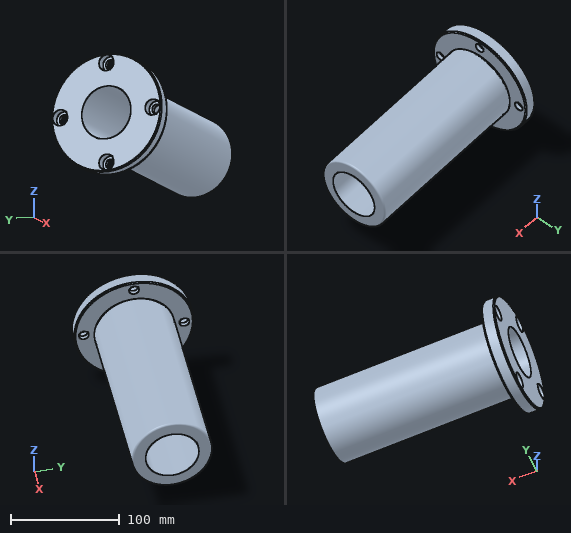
import cadquery as cq

total_length = 192.0
flange_diameter = 112.0
flange_thickness = 13.0
flange_chamfer = 1.2
tube_diameter = 75.0
tube_end_radius = 2.0
bore_diameter = 50.0
relief_width = 1.2
relief_depth = 1.3
screw_circle_diameter = 94.0
screw_count = 4
screw_hole_diameter = 9.2
counterbore_diameter = 15.0
counterbore_depth = 8.6

flange_face = -total_length / 2
flange_back = flange_face + flange_thickness
tube_length = total_length - flange_thickness


def cylinder_along_x(start, length, diameter):
    return cq.Workplane("YZ", origin=(start, 0, 0)).circle(diameter / 2).extrude(length)


def make_flange():
    """Round flange with both rims chamfered."""
    disc = cylinder_along_x(flange_face, flange_thickness, flange_diameter)
    return disc.edges().chamfer(flange_chamfer)


def make_tube():
    """Tube body with a rounded end and a shallow relief groove behind the flange."""
    tube = cylinder_along_x(flange_back, tube_length, tube_diameter)
    tube = tube.faces(">X").edges().fillet(tube_end_radius)
    groove = cylinder_along_x(flange_back, relief_width, tube_diameter).cut(
        cylinder_along_x(flange_back, relief_width, tube_diameter - 2 * relief_depth)
    )
    return tube.cut(groove)


def cut_screw_holes(body):
    """Counterbored screw holes, sunk from the flange face."""
    return (
        body.faces("<X")
        .workplane(origin=(flange_face, 0, 0))
        .polarArray(screw_circle_diameter / 2, 0, 360, screw_count)
        .cboreHole(screw_hole_diameter, counterbore_diameter, counterbore_depth, flange_thickness)
    )


body = make_flange().union(make_tube())
body = body.cut(cylinder_along_x(flange_face, total_length, bore_diameter))
result = cut_screw_holes(body)